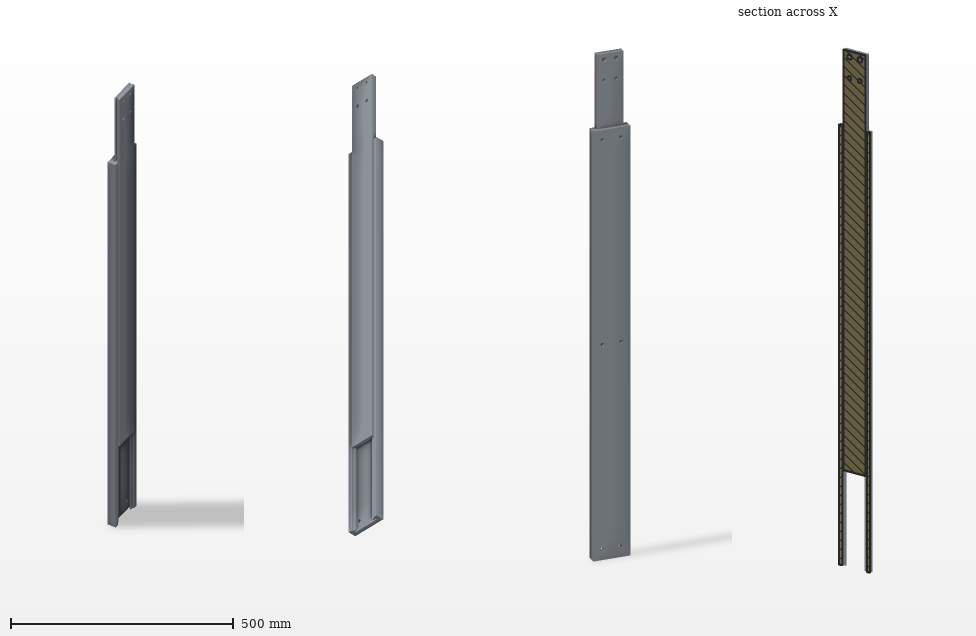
import cadquery as cq

total_length = 1232.0
total_depth = 23.0

housing_length = 1050.0
housing_width = 90.0
housing_depth = 21.0
web_thickness = 10.0
channel_width = 69.0

slider_length = 1004.0
slider_width = 64.0
slider_depth = total_depth - web_thickness

groove_depth = 5.0
groove_width = 4.0
groove_start = 14.0

housing_hole_diameter = 9.0
slider_hole_diameter = 9.0
housing_hole_spacing_y = 45.0
housing_hole_rows = 3
housing_hole_pitch = 500.0
housing_hole_end_distance = 25.0
slider_hole_spacing_y = 30.0
slider_hole_pitch = 50.0
slider_hole_end_distance = 15.0
stepped_hole_diameter = 6.0
counterbore_diameter = 11.0
counterbore_depth = 6.0


def box(x_start, x_size, width, z_start, length, y_center=0.0):
    """A bar along Z, centred in Y on y_center."""
    bar = cq.Workplane("XY").box(x_size, width, length, centered=(False, True, False))
    return bar.translate((x_start, y_center, z_start))


def hole_pair(spacing_y, z, diameter, x_start, depth):
    """Two round cutters along X, mirrored in Y, at height z."""
    return (
        cq.Workplane("YZ", origin=(x_start, 0, 0))
        .pushPoints([(side * spacing_y / 2, z) for side in (-1, 1)])
        .circle(diameter / 2)
        .extrude(depth)
    )


def make_housing():
    body = box(0, housing_depth, housing_width, 0, housing_length)
    channel_depth = housing_depth - web_thickness
    body = body.cut(box(web_thickness, channel_depth, channel_width, 0, housing_length))
    rail_height = (channel_width - slider_width) / 2 + groove_depth
    for side in (-1, 1):
        rail_y = side * (channel_width - rail_height) / 2
        body = body.union(box(groove_start, groove_width, rail_height, 0, housing_length, rail_y))
    for row in range(housing_hole_rows):
        z = housing_length - housing_hole_end_distance - row * housing_hole_pitch
        body = body.cut(hole_pair(housing_hole_spacing_y, z, housing_hole_diameter, 0, web_thickness))
    return body


def make_slider():
    bottom = total_length - slider_length
    body = box(web_thickness, slider_depth, slider_width, bottom, slider_length)
    for side in (-1, 1):
        groove_y = side * (slider_width - groove_depth) / 2
        body = body.cut(box(groove_start, groove_width, groove_depth, bottom, slider_length, groove_y))
    top_z = total_length - slider_hole_end_distance
    plain_z = top_z - slider_hole_pitch
    cutters = [
        (top_z, stepped_hole_diameter, slider_depth),
        (top_z, counterbore_diameter, counterbore_depth),
        (plain_z, slider_hole_diameter, slider_depth),
    ]
    for z, diameter, depth in cutters:
        body = body.cut(hole_pair(slider_hole_spacing_y, z, diameter, web_thickness, depth))
    return body


housing = make_housing()
slider = make_slider()
result = cq.Compound.makeCompound([housing.val(), slider.val()])